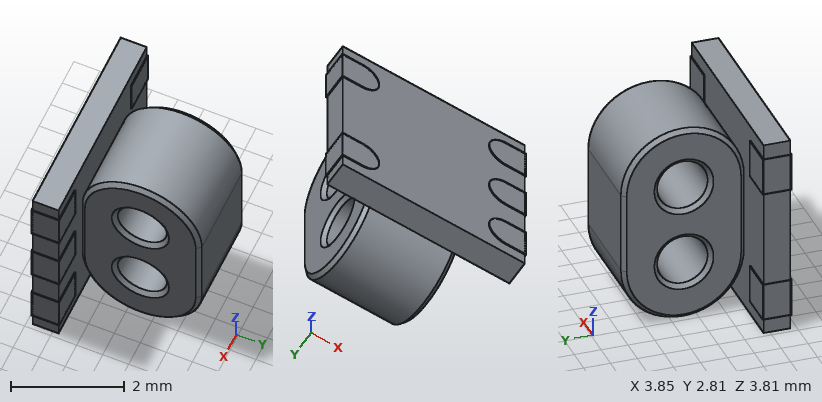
import cadquery as cq

board_side = 3.81
board_thickness = 0.5

core_length = 1.895
core_height = board_side
core_depth = 2.29
core_chamfer = 0.08
hole_diameter = 0.94
hole_spacing = core_height - core_depth

metal_thickness = 0.02
terminal_width = 0.71
terminal_pitch = 1.27
front_reach = 0.775
back_reach = 0.71

outer_x = board_side / 2 + metal_thickness
core_center_y = board_thickness + core_depth / 2


def make_board():
    return cq.Workplane("XY").box(
        board_side, board_thickness, board_side
    ).translate((0, board_thickness / 2, 0))


def make_core():
    """Obround block with two through holes, chamfered on every end edge."""
    block = (
        cq.Workplane("YZ")
        .center(core_center_y, 0)
        .slot2D(core_height, core_depth, 90)
        .extrude(core_length / 2, both=True)
    )
    holes = (
        cq.Workplane("YZ")
        .center(core_center_y, 0)
        .rarray(0.04, hole_spacing, 1, 2)
        .circle(hole_diameter / 2)
        .extrude(core_length / 2, both=True)
    )
    return block.cut(holes).faces("<X or >X").edges().chamfer(core_chamfer)


def make_terminal(side, center_z):
    """C-shaped clip on the side = -1 (-X) or +1 (+X) edge of the board."""
    half_width = terminal_width / 2
    arc_center_x = outer_x - front_reach + half_width
    front_tab = (
        cq.Workplane("XZ")
        .moveTo(outer_x, -half_width)
        .lineTo(arc_center_x, -half_width)
        .threePointArc((outer_x - front_reach, 0), (arc_center_x, half_width))
        .lineTo(outer_x, half_width)
        .close()
        .extrude(metal_thickness)
    )
    edge_strip = cq.Workplane("XY").box(
        metal_thickness, board_thickness, terminal_width
    ).translate((outer_x - metal_thickness / 2, board_thickness / 2, 0))
    back_tab = cq.Workplane("XY").box(
        back_reach, metal_thickness, terminal_width
    ).translate((outer_x - back_reach / 2, board_thickness + metal_thickness / 2, 0))
    clip = front_tab.union(edge_strip).union(back_tab)
    if side < 0:
        clip = clip.mirror("YZ")
    return clip.translate((0, 0, center_z))


board = make_board()
core = make_core()

terminal_rows = {-1: (-1, 1), 1: (-1, 0, 1)}
terminals = []
for side, rows in terminal_rows.items():
    for row in rows:
        terminals.append(make_terminal(side, row * terminal_pitch).val())

result = cq.Compound.makeCompound([board.val(), core.val(), *terminals])